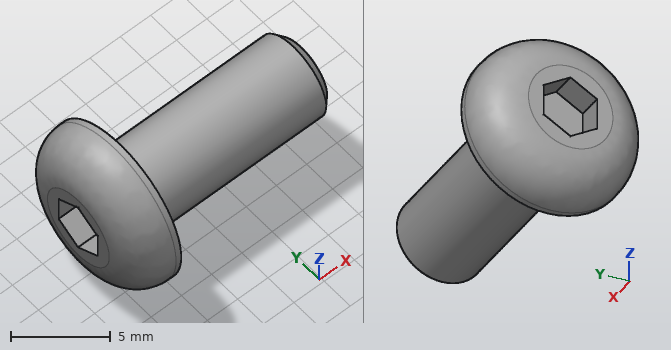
import cadquery as cq
import math

total_length = 14.75
head_diameter = 9.5
head_height = 2.75
shank_diameter = 5.0
tip_chamfer = 0.5
socket_across_flats = 3.0
socket_depth = 1.56

head_radius = head_diameter / 2
shank_radius = shank_diameter / 2
face_radius = head_radius / 2
dome_radius = head_radius - face_radius
dome_mid_offset = dome_radius * math.sqrt(0.5)

profile = (
    cq.Workplane("XY")
    .lineTo(0, face_radius)
    .threePointArc(
        (dome_radius - dome_mid_offset, face_radius + dome_mid_offset),
        (dome_radius, head_radius),
    )
    .lineTo(head_height, head_radius)
    .lineTo(head_height, shank_radius)
    .lineTo(total_length - tip_chamfer, shank_radius)
    .lineTo(total_length, shank_radius - tip_chamfer)
    .lineTo(total_length, 0)
    .close()
)
screw = profile.revolve(360, (0, 0, 0), (1, 0, 0))

socket_across_corners = socket_across_flats / math.cos(math.radians(30))
socket = (
    cq.Workplane("YZ")
    .transformed(rotate=(0, 0, 90))
    .polygon(6, socket_across_corners)
    .extrude(socket_depth)
)

result = screw.cut(socket)